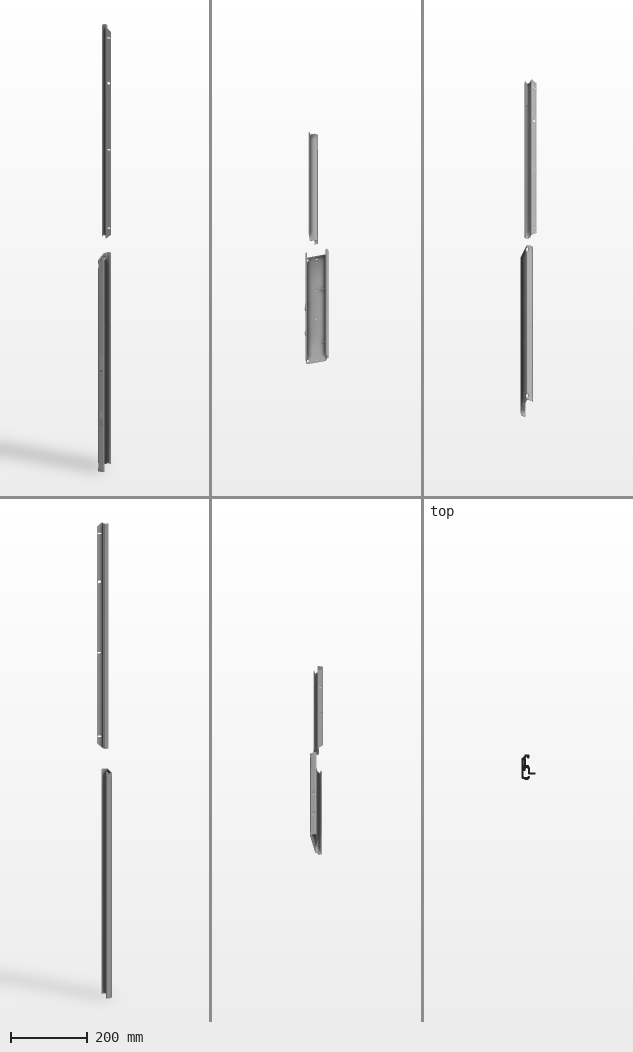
import cadquery as cq
import math

SHEET = 1.25
TIGHT_BEND = 0.5
WIDE_BEND = 2.4
RAIL_LENGTH = 600.0
RAIL_GAP = 60.0
CUT_DEPTH = 10.0

WEB_X = -15.75
FLANGE_Y = -28.6
CREST_Y = 31.25
JOG_START_Y = 22.2
JOG_END = (-9.0, 27.5)
CABINET_TOP = -RAIL_GAP / 2
CABINET_BOTTOM = CABINET_TOP - RAIL_LENGTH
CABINET_PATH = [
    (2.0, -25.2),
    (-1.2, FLANGE_Y),
    (WEB_X, FLANGE_Y),
    (WEB_X, JOG_START_Y),
    JOG_END,
    (JOG_END[0], CREST_Y),
    (-1.2, CREST_Y),
    (1.8, 28.0),
    (-0.8, 25.0),
]
CABINET_BENDS = [TIGHT_BEND, WIDE_BEND] + 5 * [TIGHT_BEND]

WEB_HOLE_Y = -2.0
WEB_HOLES = [
    (-50.0, 7.0),
    (-64.0, 5.0),
    (-78.0, 5.0),
    (-222.0, 5.0),
    (-384.0, 7.5),
    (-576.0, 5.0),
    (-621.0, 6.0),
]
LUG_REACH_X = -8.6
LUG_WINDOW_HEIGHT = 2.6
LUGS = [(-41.5, -2.0, 20.0), (-233.0, 7.0, 20.0), (-529.0, 12.0, 20.5)]
STOP_X = (-9.0, -2.0)
STOP_PEAKS_Y = (-31.25, -31.0)
STOPS_Z = [(-301.0, -340.0, -344.0), (-458.0, -479.0, -498.0)]
BEND_SLOT_LENGTH = 14.0
BEND_SLOT_INSET = 16.0
BEND_SLOT_X = -12.0
BEND_SLOT_Y = -23.0

DRAWER_EDGE_X = 15.75
SHELF_Y = -16.4
TRACK_X = -9.9
TRACK_TOP_Y = 1.7
DRAWER_WEB_X = 1.0
DRAWER_BOTTOM = RAIL_GAP / 2
DRAWER_TOP = DRAWER_BOTTOM + RAIL_LENGTH
DRAWER_PATH = [
    (DRAWER_EDGE_X, SHELF_Y),
    (DRAWER_WEB_X, SHELF_Y),
    (DRAWER_WEB_X, -4.0),
    (-2.2, TRACK_TOP_Y),
    (TRACK_X, TRACK_TOP_Y),
    (TRACK_X, -7.0),
]
DRAWER_BENDS = 4 * [TIGHT_BEND]

SHELF_CLIP_X = 12.5
SHELF_CLIP_Z = 11.0
SHELF_HOLE_X = 9.5
SLOT_LENGTH = 10.5
SLOT_WIDTH = 3.6
SLOT_HEIGHTS = [601.0, 283.0, 60.0]
ROUND_HOLE_Z = 472.0
ROUND_HOLE_DIAMETER = 8.0
PAD_X = (-7.5, -2.5)
PAD_LENGTH = 86.0
PAD_TOP_Y = 3.9


def offset_path(path, distance):
    """Points of an open path moved sideways by distance (to its right), mitred at the bends."""
    normals = []
    for (x0, y0), (x1, y1) in zip(path, path[1:]):
        length = math.hypot(x1 - x0, y1 - y0)
        normals.append(((y1 - y0) / length, (x0 - x1) / length))
    before = normals[:1] + normals
    after = normals + normals[-1:]
    moved = []
    for (x, y), (ax, ay), (bx, by) in zip(path, before, after):
        mitre = distance / (1 + ax * bx + ay * by)
        moved.append((x + (ax + bx) * mitre, y + (ay + by) * mitre))
    return moved


def turns_right(start, corner, end):
    """True where a path bends to the right at the corner."""
    cross = (corner[0] - start[0]) * (end[1] - corner[1]) - (corner[1] - start[1]) * (end[0] - corner[0])
    return cross < 0


def bent_rail(path, bends, bottom):
    """Sheet strip whose outer face follows the path; the sheet lies to the right of the path."""
    inner = offset_path(path, SHEET)
    rail = cq.Workplane("XY", origin=(0, 0, bottom)).polyline(path + inner[::-1]).close().extrude(RAIL_LENGTH)
    for i, bend in enumerate(bends, start=1):
        if turns_right(*path[i - 1:i + 2]):
            outer_radius, inner_radius = bend + SHEET, bend
        else:
            outer_radius, inner_radius = bend, bend + SHEET
        for (x, y), radius in ((path[i], outer_radius), (inner[i], inner_radius)):
            corner = cq.selectors.NearestToPointSelector((x, y, bottom + RAIL_LENGTH / 2))
            rail = rail.edges("|Z").edges(corner).fillet(radius)
    return rail


def box_between(low, high):
    """Box spanning two opposite corners."""
    size = [b - a for a, b in zip(low, high)]
    return cq.Workplane("XY").box(*size, centered=False).translate(low)


def cabinet_rail():
    rail = bent_rail(CABINET_PATH, CABINET_BENDS, CABINET_BOTTOM)
    for z, diameter in WEB_HOLES:
        hole = cq.Workplane("YZ", origin=(WEB_X - SHEET, WEB_HOLE_Y, z)).circle(diameter / 2)
        rail = rail.cut(hole.extrude(CUT_DEPTH))
    for z, low_y, high_y in LUGS:
        window = box_between(
            (WEB_X - SHEET, low_y, z),
            (WEB_X + 2 * SHEET, high_y, z + LUG_WINDOW_HEIGHT),
        )
        plate = box_between((WEB_X, low_y, z - SHEET), (LUG_REACH_X, high_y, z))
        rail = rail.cut(window).union(plate)
    for peak_y, (upper_foot, peak, lower_foot) in zip(STOP_PEAKS_Y, STOPS_Z):
        ramp = (
            cq.Workplane("YZ", origin=(STOP_X[0], 0, 0))
            .polyline([(FLANGE_Y, upper_foot), (peak_y, peak), (FLANGE_Y, lower_foot)])
            .close()
            .extrude(STOP_X[1] - STOP_X[0])
        )
        rail = rail.union(ramp)
    for z in (CABINET_TOP - BEND_SLOT_INSET, CABINET_BOTTOM + BEND_SLOT_INSET):
        slot = box_between(
            (WEB_X - SHEET, FLANGE_Y - SHEET, z - BEND_SLOT_LENGTH / 2),
            (BEND_SLOT_X, BEND_SLOT_Y, z + BEND_SLOT_LENGTH / 2),
        )
        rail = rail.cut(slot)
    return rail


def drawer_rail():
    rail = bent_rail(DRAWER_PATH, DRAWER_BENDS, DRAWER_BOTTOM)
    shelf_cut = cq.Workplane("XZ", origin=(0, SHELF_Y + CUT_DEPTH / 2, 0))
    for end, inward in ((DRAWER_TOP, -1), (DRAWER_BOTTOM, 1)):
        clip = (
            shelf_cut.moveTo(DRAWER_EDGE_X, end)
            .lineTo(DRAWER_EDGE_X - SHELF_CLIP_X, end)
            .lineTo(DRAWER_EDGE_X, end + inward * SHELF_CLIP_Z)
            .close()
            .extrude(CUT_DEPTH)
        )
        rail = rail.cut(clip)
    slots = shelf_cut.pushPoints([(SHELF_HOLE_X, z) for z in SLOT_HEIGHTS]).slot2D(SLOT_LENGTH, SLOT_WIDTH)
    rail = rail.cut(slots.extrude(CUT_DEPTH))
    hole = shelf_cut.moveTo(SHELF_HOLE_X, ROUND_HOLE_Z).circle(ROUND_HOLE_DIAMETER / 2)
    rail = rail.cut(hole.extrude(CUT_DEPTH))
    pad = box_between(
        (PAD_X[0], TRACK_TOP_Y - SHEET, DRAWER_TOP - PAD_LENGTH),
        (PAD_X[1], PAD_TOP_Y, DRAWER_TOP),
    )
    return rail.union(pad)


result = cq.Compound.makeCompound([cabinet_rail().val(), drawer_rail().val()])